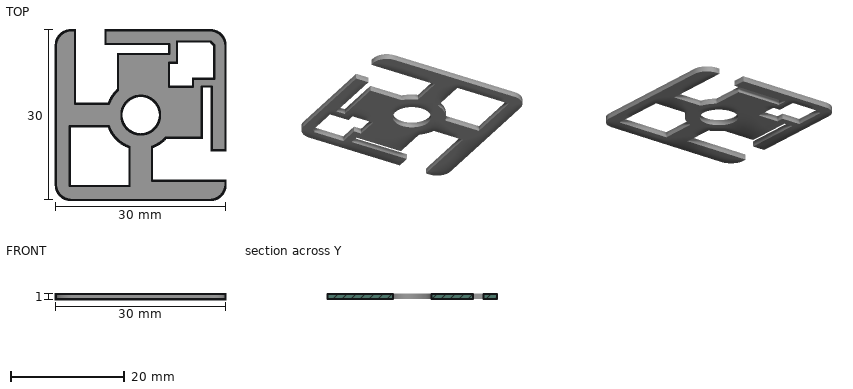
import cadquery as cq

SIDE = 30.0
THICKNESS = 1.0
CORNER_RADIUS = 2.75
HALF = SIDE / 2

HUB_RADIUS = 6.0
BORE_RADIUS = 3.4
SPOKE_HALF_WIDTH = 2.0

FRAME_INNER = 12.5
LEG_INNER = 11.55
ARM_END = 6.25
PAD_NEAR = 4.02
PAD_FAR = 10.8
WINDOW_NEAR = 5.0
WINDOW_STEP = 6.45
WINDOW_STEP_END = 9.2
WINDOW_FAR = 12.95
WINDOW_CHAMFER = 0.63


def block(x_min, x_max, y_min, y_max):
    """Full-thickness rectangular block between the given limits."""
    return (
        cq.Workplane("XY")
        .box(x_max - x_min, y_max - y_min, THICKNESS, centered=False)
        .translate((x_min, y_min, 0))
    )


def mirrored_pair(x_min, x_max, y_min, y_max):
    """Block together with its reflection in the diagonal X = Y."""
    return block(x_min, x_max, y_min, y_max).union(block(y_min, y_max, x_min, x_max))


def disc(radius):
    return cq.Workplane("XY").circle(radius).extrude(THICKNESS)


def rounded_plate():
    plate = block(-HALF, HALF, -HALF, HALF)
    return plate.edges("|Z").fillet(CORNER_RADIUS)


def side_openings():
    """Gap at each arm end, reaching in to the pad and along the arm."""
    gap = mirrored_pair(-LEG_INNER, -ARM_END, SPOKE_HALF_WIDTH, HALF)
    beside_pad = mirrored_pair(-ARM_END, -PAD_NEAR, SPOKE_HALF_WIDTH, FRAME_INNER)
    arm_slot = mirrored_pair(-PAD_NEAR, WINDOW_NEAR, PAD_FAR, FRAME_INNER)
    return gap.union(beside_pad).union(arm_slot)


def lower_window():
    return block(-FRAME_INNER, -SPOKE_HALF_WIDTH, -FRAME_INNER, -SPOKE_HALF_WIDTH)


def stepped_window():
    """Square window with a chamfered outer corner and a smaller square step inward."""
    outer = block(WINDOW_STEP, WINDOW_FAR, WINDOW_STEP, WINDOW_FAR)
    outer = outer.edges("|Z and >X and >Y").chamfer(WINDOW_CHAMFER)
    return outer.union(block(WINDOW_NEAR, WINDOW_STEP_END, WINDOW_NEAR, WINDOW_STEP_END))


openings = side_openings().union(lower_window()).cut(disc(HUB_RADIUS))
result = rounded_plate().cut(openings).cut(stepped_window()).cut(disc(BORE_RADIUS))